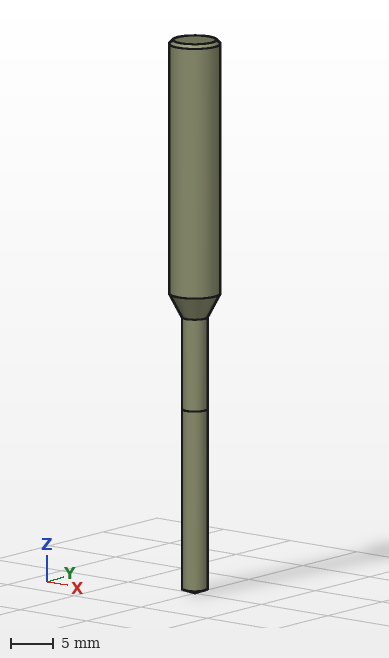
import cadquery as cq
import math

total_length = 66.0
shank_diameter = 6.0
shank_chamfer = 0.45
shank_bottom = 35.8
neck_diameter = 3.05
neck_top = 32.95
cutting_diameter = 3.05
cutting_length = 22.0
point_angle = 140.0

shank_radius = shank_diameter / 2
neck_radius = neck_diameter / 2
cutting_radius = cutting_diameter / 2
point_height = cutting_radius / math.tan(math.radians(point_angle / 2))


def make_shank():
    """Chamfered shank, tapering down to the neck, as one turned body."""
    profile = (
        cq.Workplane("XZ")
        .moveTo(0, cutting_length)
        .lineTo(neck_radius, cutting_length)
        .lineTo(neck_radius, neck_top)
        .lineTo(shank_radius, shank_bottom)
        .lineTo(shank_radius, total_length - shank_chamfer)
        .lineTo(shank_radius - shank_chamfer, total_length)
        .lineTo(0, total_length)
        .close()
    )
    return profile.revolve(360, (0, 0, 0), (0, 1, 0))


def make_cutting_part():
    """Plain cylindrical cutting envelope with a conical drill point."""
    profile = (
        cq.Workplane("XZ")
        .lineTo(cutting_radius, point_height)
        .lineTo(cutting_radius, cutting_length)
        .lineTo(0, cutting_length)
        .close()
    )
    return profile.revolve(360, (0, 0, 0), (0, 1, 0))


shank = make_shank()
cutting_part = make_cutting_part()

result = cq.Compound.makeCompound([shank.val(), cutting_part.val()])